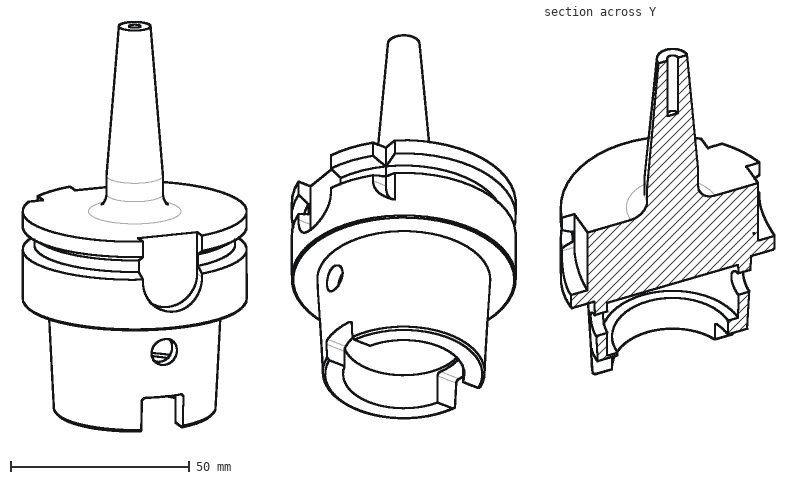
import cadquery as cq
import math

total_height = 112.0
flange_bottom = 32.0
flange_top = 58.0

shank_tip_radius = 22.7
shank_root_radius = 24.3
shank_chamfer = 0.7
bore_mouth_radius = 17.0
bore_recess_radius = 20.2
bore_recess_start = 11.2
bore_depth = 30.2

flange_radius = 31.5
flange_chamfer = 0.5
groove_radius = 28.2
groove_lower_rim = 46.9
groove_floor_bottom = 48.3
groove_floor_top = 51.6
groove_upper_rim = 53.5

nose_tip_radius = 4.5
nose_base_radius = 8.0
nose_fillet = 5.0
nose_taper_start = 68.4
tool_hole_radius = 1.6
tool_hole_depth = 20.2

slot_floor_distance = 26.3
slot_bottom = 37.1
narrow_slot_radius = 8.0
wide_slot_radius = 8.8
index_notch_x = -19.9
index_notch_y = -19.9

drive_notch_width = 12.4
short_notch_height = 6.0
tall_notch_height = 10.1
drive_notch_corner = 1.0
cross_hole_radius = 3.8
cross_hole_height = 23.3

cut_length = 44.8


def make_body():
    """Revolve the shank, flange and nose around Z."""
    fillet_top = flange_top + nose_fillet
    fillet_outer_radius = nose_base_radius + nose_fillet
    fillet_mid_offset = nose_fillet * (1 - math.sqrt(0.5))
    fillet_mid = (nose_base_radius + fillet_mid_offset, flange_top + fillet_mid_offset)
    return (
        cq.Workplane("XZ")
        .lineTo(shank_tip_radius - shank_chamfer, 0)
        .lineTo(shank_tip_radius, shank_chamfer)
        .lineTo(shank_root_radius, flange_bottom)
        .lineTo(flange_radius - flange_chamfer, flange_bottom)
        .lineTo(flange_radius, flange_bottom + flange_chamfer)
        .lineTo(flange_radius, groove_lower_rim)
        .lineTo(groove_radius, groove_floor_bottom)
        .lineTo(groove_radius, groove_floor_top)
        .lineTo(flange_radius, groove_upper_rim)
        .lineTo(flange_radius, flange_top)
        .lineTo(fillet_outer_radius, flange_top)
        .threePointArc(fillet_mid, (nose_base_radius, fillet_top))
        .lineTo(nose_base_radius, nose_taper_start)
        .lineTo(nose_tip_radius, total_height)
        .lineTo(0, total_height)
        .close()
        .revolve(360, (0, 0, 0), (0, 1, 0))
    )


def make_bore():
    """Stepped bore, wider behind the shank mouth."""
    mouth = cq.Workplane("XY").circle(bore_mouth_radius).extrude(bore_recess_start)
    recess = (
        cq.Workplane("XY", origin=(0, 0, bore_recess_start))
        .circle(bore_recess_radius)
        .extrude(bore_depth - bore_recess_start)
    )
    return mouth.union(recess)


def make_tool_hole():
    """Blind tool hole in the nose tip."""
    return (
        cq.Workplane("XY", origin=(0, 0, total_height))
        .circle(tool_hole_radius)
        .extrude(-tool_hole_depth)
    )


def make_rim_slot(start_x, direction, center_y, radius):
    """Slot with a round bottom, open at the flange top and cut outward along X."""
    arc_height = slot_bottom + radius
    return (
        cq.Workplane("YZ", origin=(start_x, 0, 0))
        .moveTo(center_y - radius, flange_top)
        .lineTo(center_y - radius, arc_height)
        .threePointArc((center_y, slot_bottom), (center_y + radius, arc_height))
        .lineTo(center_y + radius, flange_top)
        .close()
        .extrude(direction * cut_length)
    )


def make_drive_notch(direction, height):
    """Notch through one shank wall, with rounded upper corners."""
    return (
        cq.Workplane("XY")
        .box(cut_length, drive_notch_width, height, centered=(True, True, False))
        .edges("|X and >Z")
        .fillet(drive_notch_corner)
        .translate((direction * cut_length / 2, 0, 0))
    )


def make_cross_hole():
    """Hole along X through both shank walls."""
    return (
        cq.Workplane("YZ")
        .center(0, cross_hole_height)
        .circle(cross_hole_radius)
        .extrude(cut_length, both=True)
    )


index_center_y = index_notch_y - narrow_slot_radius

result = (
    make_body()
    .cut(make_bore())
    .cut(make_tool_hole())
    .cut(make_rim_slot(-slot_floor_distance, -1, 0, narrow_slot_radius))
    .cut(make_rim_slot(slot_floor_distance, 1, 0, wide_slot_radius))
    .cut(make_rim_slot(index_notch_x, -1, index_center_y, narrow_slot_radius))
    .cut(make_drive_notch(-1, short_notch_height))
    .cut(make_drive_notch(1, tall_notch_height))
    .cut(make_cross_hole())
)